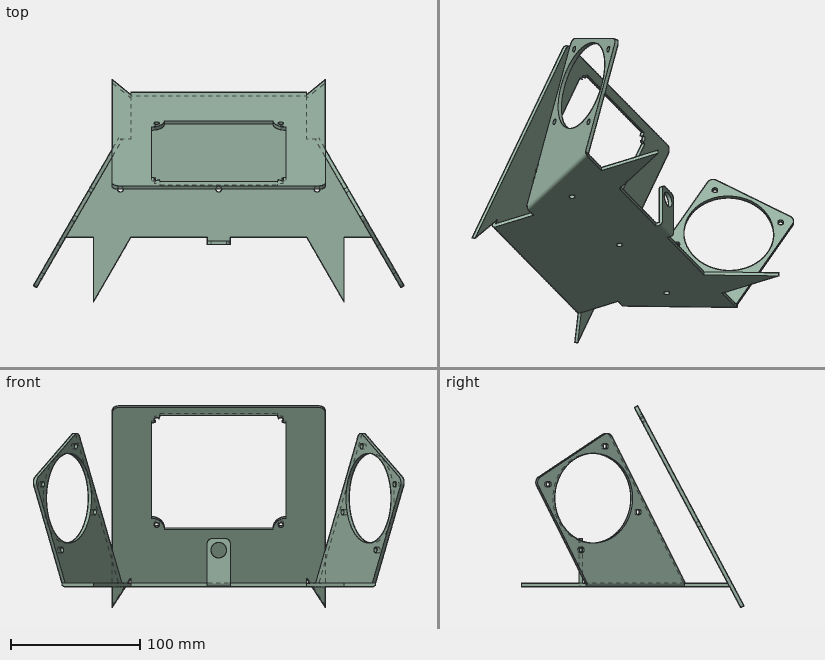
import cadquery as cq
import math

THICK = 3.0
CORNER_R = 5.0
PRONG_ANGLE = 30.0

BASE_DEPTH = 109.4
REAR_HALF_WIDTH = 68.0
PRONG_LENGTH = 50.0
PRONG_ROOT = PRONG_LENGTH * math.tan(math.radians(PRONG_ANGLE))
BASE_HOLE_D = 4.5
BASE_HOLE_PITCH = 76.0
BASE_HOLE_Y = -72.0

PANEL_TILT = 28.0
PANEL_HALF_WIDTH = 82.5
PANEL_HEIGHT = 153.65
RELIEF = 3.5
LEG_LENGTH = (PANEL_HALF_WIDTH - REAR_HALF_WIDTH) / math.tan(math.radians(PRONG_ANGLE)) - RELIEF
WINDOW_WIDTH = 104.0
WINDOW_HEIGHT = 100.0
WINDOW_TOP_MARGIN = 7.0
LOWER_EAR_R = 10.0
UPPER_EAR_R = 6.5
EAR_HOLE_D = 4.0
EAR_HOLE_INSET = 4.0

FAN_YAW = 30.0
FAN_LEAN = 30.0
FAN_PLATE_WIDTH = 76.0
FAN_PLATE_LENGTH = 135.7
FAN_REAR_X = 74.45
FAN_BORE_D = 69.4
FAN_HOLE_PITCH = 58.7
FAN_HOLE_D = 4.3
FAN_BEND_LENGTH = FAN_PLATE_WIDTH / math.cos(math.radians(FAN_LEAN))
FAN_REAR_Y = -BASE_DEPTH + FAN_BEND_LENGTH * math.cos(math.radians(FAN_YAW))
FAN_FRONT_X = FAN_REAR_X + FAN_BEND_LENGTH * math.sin(math.radians(FAN_YAW))

TAB_WIDTH = 18.0
TAB_TOP = 37.4
TAB_REACH = 2.6
TAB_CORNER_R = 4.0
TAB_HOLE_D = 12.0
TAB_HOLE_DROP = 9.0


def bend(bend_plane, length, end_angle):
    """Solid corner along a bend: a sector from straight down to end_angle above horizontal."""
    middle = math.radians((end_angle - 90) / 2)
    end = math.radians(end_angle)
    return (
        cq.Workplane(bend_plane)
        .lineTo(0, -THICK)
        .threePointArc(
            (THICK * math.cos(middle), THICK * math.sin(middle)),
            (THICK * math.cos(end), THICK * math.sin(end)),
        )
        .close()
        .extrude(length)
    )


def mirrored(points):
    """Close a right-half outline with its mirror image in X."""
    return points + [(-x, y) for x, y in reversed(points)]


def make_base():
    prong_x = REAR_HALF_WIDTH + PRONG_ROOT
    tab_y = -BASE_DEPTH - TAB_REACH
    outline = mirrored([
        (REAR_HALF_WIDTH, 0),
        (REAR_HALF_WIDTH, FAN_REAR_Y),
        (FAN_REAR_X, FAN_REAR_Y),
        (FAN_FRONT_X, -BASE_DEPTH),
        (prong_x, -BASE_DEPTH),
        (prong_x, -BASE_DEPTH - PRONG_LENGTH),
        (REAR_HALF_WIDTH, -BASE_DEPTH),
        (TAB_WIDTH / 2, -BASE_DEPTH),
        (TAB_WIDTH / 2, tab_y),
    ])
    holes = (
        cq.Workplane("XY")
        .pushPoints([(i * BASE_HOLE_PITCH, BASE_HOLE_Y) for i in (-1, 0, 1)])
        .circle(BASE_HOLE_D / 2)
        .extrude(THICK)
    )
    return cq.Workplane("XY").polyline(outline).close().extrude(THICK).cut(holes)


def make_window(plane):
    """Display opening whose four corners keep round mounting ears."""
    top = PANEL_HEIGHT - WINDOW_TOP_MARGIN
    bottom = top - WINDOW_HEIGHT
    opening = (
        cq.Workplane(plane)
        .center(0, (top + bottom) / 2)
        .rect(WINDOW_WIDTH, WINDOW_HEIGHT)
        .extrude(THICK)
    )
    for side in (-1, 1):
        corner_x = side * WINDOW_WIDTH / 2
        for corner_y, radius in ((bottom, LOWER_EAR_R), (top, UPPER_EAR_R)):
            ear = cq.Workplane(plane).center(corner_x, corner_y).circle(radius).extrude(THICK)
            opening = opening.cut(ear)
    ear_holes = (
        cq.Workplane(plane)
        .pushPoints([
            (side * (WINDOW_WIDTH / 2 - EAR_HOLE_INSET), hole_y)
            for side in (-1, 1)
            for hole_y in (bottom + EAR_HOLE_INSET, top - EAR_HOLE_INSET)
        ])
        .circle(EAR_HOLE_D / 2)
        .extrude(THICK)
    )
    return opening.union(ear_holes)


def make_panel():
    tilt = math.radians(PANEL_TILT)
    plane = cq.Plane((0, 0, THICK), (-1, 0, 0), (0, math.cos(tilt), math.sin(tilt)))
    outline = mirrored([
        (REAR_HALF_WIDTH, 0),
        (REAR_HALF_WIDTH, RELIEF),
        (PANEL_HALF_WIDTH, -LEG_LENGTH),
        (PANEL_HALF_WIDTH, PANEL_HEIGHT),
    ])
    plate = cq.Workplane(plane).polyline(outline).close().extrude(THICK)
    top_corners = cq.selectors.BoxSelector(
        (-2 * PANEL_HALF_WIDTH, -PANEL_HEIGHT, PANEL_HEIGHT * math.cos(tilt)),
        (2 * PANEL_HALF_WIDTH, 0, PANEL_HEIGHT),
    )
    plate = plate.edges(cq.selectors.ParallelDirSelector(plane.zDir)).edges(top_corners).fillet(CORNER_R)
    bend_plane = cq.Plane((-REAR_HALF_WIDTH, 0, THICK), (0, 1, 0), (1, 0, 0))
    return plate.cut(make_window(plane)).union(bend(bend_plane, 2 * REAR_HALF_WIDTH, PANEL_TILT))


def make_fan_plate():
    """Right-hand fan plate with its bend."""
    yaw = math.radians(FAN_YAW)
    lean = math.radians(FAN_LEAN)
    outward = (math.cos(yaw), math.sin(yaw), 0)
    forward = (math.sin(yaw), -math.cos(yaw), 0)
    shift = THICK / 2 * math.tan(yaw)
    origin = (FAN_REAR_X + shift * forward[0], FAN_REAR_Y + shift * forward[1], THICK)
    plane = cq.Plane(origin, tuple(-c for c in forward), outward)

    def place(across, along):
        """Point at a distance across the plate from its rear edge and along its long edges."""
        return (
            -across * math.cos(lean) - along * math.sin(lean),
            along * math.cos(lean) - across * math.sin(lean),
        )

    fan_centre = (FAN_PLATE_WIDTH / 2, FAN_PLATE_LENGTH - FAN_PLATE_WIDTH / 2)
    arc_mid = CORNER_R * (1 - math.sqrt(0.5))
    outline = (
        cq.Workplane(plane)
        .lineTo(*place(0, FAN_PLATE_LENGTH - CORNER_R))
        .threePointArc(place(arc_mid, FAN_PLATE_LENGTH - arc_mid), place(CORNER_R, FAN_PLATE_LENGTH))
        .lineTo(*place(FAN_PLATE_WIDTH - CORNER_R, FAN_PLATE_LENGTH))
        .threePointArc(
            place(FAN_PLATE_WIDTH - arc_mid, FAN_PLATE_LENGTH - arc_mid),
            place(FAN_PLATE_WIDTH, FAN_PLATE_LENGTH - CORNER_R),
        )
        .lineTo(-FAN_BEND_LENGTH, 0)
        .close()
    )
    bore = cq.Workplane(plane).center(*place(*fan_centre)).circle(FAN_BORE_D / 2).extrude(THICK)
    screw_points = [
        place(fan_centre[0] + i * FAN_HOLE_PITCH / 2, fan_centre[1] + j * FAN_HOLE_PITCH / 2)
        for i in (-1, 1)
        for j in (-1, 1)
    ]
    screws = cq.Workplane(plane).pushPoints(screw_points).circle(FAN_HOLE_D / 2).extrude(THICK)
    plate = outline.extrude(THICK).cut(bore).cut(screws)

    overrun_start = (FAN_REAR_X - THICK * forward[0], FAN_REAR_Y - THICK * forward[1], THICK)
    bend_plane = cq.Plane(overrun_start, outward, forward)
    edge_range = cq.Workplane("XY").box(
        FAN_FRONT_X + THICK,
        FAN_REAR_Y + BASE_DEPTH,
        THICK,
        centered=(False, False, False),
    ).translate((0, -BASE_DEPTH, 0))
    corner = bend(bend_plane, FAN_BEND_LENGTH + 2 * THICK, 0).intersect(edge_range)
    return plate.union(corner)


def make_tab():
    inner_y = -BASE_DEPTH - TAB_REACH
    rise = TAB_TOP - THICK
    plane = cq.Plane((0, inner_y, THICK), (1, 0, 0), (0, -1, 0))
    plate = (
        cq.Workplane(plane)
        .center(0, rise / 2)
        .rect(TAB_WIDTH, rise)
        .extrude(THICK)
        .edges("|Y and >Z")
        .fillet(TAB_CORNER_R)
    )
    hole = cq.Workplane(plane).center(0, rise - TAB_HOLE_DROP).circle(TAB_HOLE_D / 2).extrude(THICK)
    bend_plane = cq.Plane((TAB_WIDTH / 2, inner_y, THICK), (0, -1, 0), (-1, 0, 0))
    return plate.cut(hole).union(bend(bend_plane, TAB_WIDTH, 0))


fan_plate = make_fan_plate()
result = (
    make_base()
    .union(make_panel())
    .union(fan_plate)
    .union(fan_plate.mirror("YZ"))
    .union(make_tab())
)